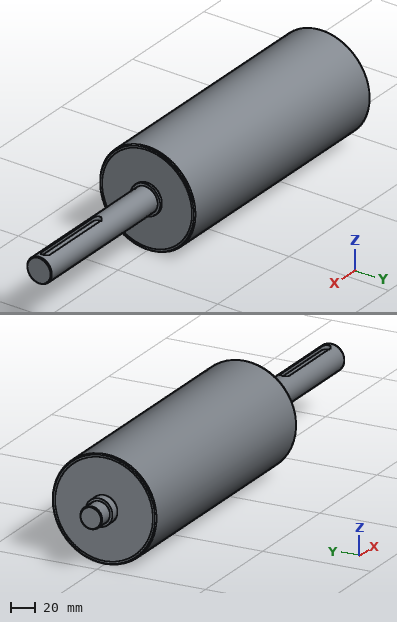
import cadquery as cq

total_length = 421.0
shaft_start = -total_length / 2
shaft_end = total_length / 2
stub_length = 14.5
drum_offset = 23.0
drum_length = 246.3
drum_start = shaft_start + drum_offset
drum_end = drum_start + drum_length

stub_diameter = 20.0
shaft_diameter = 25.0
collar_diameter = 30.0
core_diameter = 90.0
sleeve_diameter = 96.0

collar_length = 2.5
sleeve_chamfer = 1.05
shaft_chamfer = 1.0
keyway_length = 80.0
keyway_width = 8.0
keyway_depth = 3.8
keyway_end_gap = 5.5


def cylinder(diameter, start, end):
    """Solid cylinder on the X axis between two X positions."""
    return (
        cq.Workplane("YZ", origin=(start, 0, 0))
        .circle(diameter / 2)
        .extrude(end - start)
    )


def make_sleeve():
    """Outer covering of the drum, with chamfered outer rims."""
    blank = cylinder(sleeve_diameter, drum_start, drum_end).edges().chamfer(sleeve_chamfer)
    return blank.cut(cylinder(core_diameter, drum_start, drum_end))


def make_core():
    """Drum body inside the sleeve, bored to take the shaft."""
    blank = cylinder(core_diameter, drum_start, drum_end)
    return blank.cut(cylinder(shaft_diameter, drum_start, drum_end))


def make_keyway():
    """Round-ended cutter for the keyway on the top of the shaft."""
    center_x = shaft_end - keyway_end_gap - keyway_length / 2
    floor_z = shaft_diameter / 2 - keyway_depth
    return (
        cq.Workplane("XY", origin=(center_x, 0, floor_z))
        .slot2D(keyway_length, keyway_width)
        .extrude(shaft_diameter)
    )


def make_shaft():
    """Through shaft with chamfered ends, a reduced stub, a collar against the core and a keyway."""
    shoulder = shaft_start + stub_length
    stub = cylinder(stub_diameter, shaft_start, shoulder).faces("<X").edges().chamfer(shaft_chamfer)
    body = cylinder(shaft_diameter, shoulder, shaft_end).faces(">X").edges().chamfer(shaft_chamfer)
    collar = cylinder(collar_diameter, drum_end, drum_end + collar_length)
    return body.union(stub).union(collar).cut(make_keyway())


sleeve = make_sleeve()
core = make_core()
shaft = make_shaft()

result = cq.Compound.makeCompound([sleeve.val(), core.val(), shaft.val()])